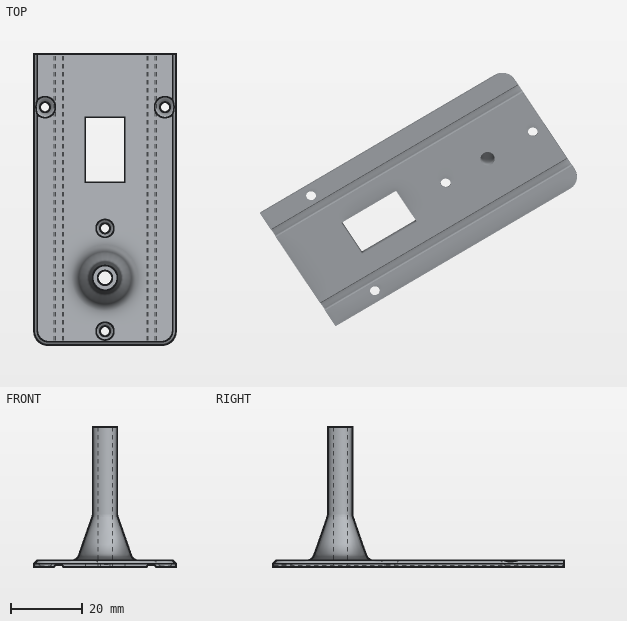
import cadquery as cq

plate_width = 40.0
plate_length = 82.0
plate_thickness = 2.0
corner_radius = 4.0
edge_chamfer = 1.0
front_edge_y = -plate_length / 2
back_edge_y = plate_length / 2

total_height = 39.5
post_y = front_edge_y + 18.95
post_diameter = 7.0
bore_diameter = 4.0
foot_diameter = 15.75
foot_top_z = 14.5
blend_radius = 2.0

screw_diameter = 2.8
center_head_diameter = 5.0
side_head_diameter = 5.9
center_screw_points = [(0, front_edge_y + 3.9), (0, front_edge_y + 32.9)]
side_screw_x = 16.9
side_screw_y = back_edge_y - 15.0
side_screw_points = [(-side_screw_x, side_screw_y), (side_screw_x, side_screw_y)]
countersink_angle = 90

window_width = 11.0
window_length = 18.2
window_y = back_edge_y - 17.9 - window_length / 2

groove_width = 2.7
groove_top_width = 2.05
groove_depth = 0.5
groove_x = 13.0


def make_plate():
    """Plate with rounded front corners, chamfered on top along all but the back edge."""
    plate = cq.Workplane("XY").box(
        plate_width, plate_length, plate_thickness, centered=(True, True, False)
    )
    plate = plate.edges("|Z and <Y").fillet(corner_radius)
    back_edge = cq.selectors.StringSyntaxSelector(">Y")
    top_edges = cq.selectors.SubtractSelector(
        cq.selectors.StringSyntaxSelector("not(|Z)"), back_edge
    )
    return plate.faces(">Z").edges(top_edges).chamfer(edge_chamfer)


def make_post():
    """Solid post and flared foot, revolved about the post axis."""
    profile = (
        cq.Workplane("XZ", origin=(0, post_y, 0))
        .moveTo(0, plate_thickness)
        .lineTo(foot_diameter / 2, plate_thickness)
        .lineTo(post_diameter / 2, foot_top_z)
        .lineTo(post_diameter / 2, total_height)
        .lineTo(0, total_height)
        .close()
    )
    return profile.revolve(360, (0, 0, 0), (0, 1, 0))


def blend_post(body):
    """Round the concave corners at the bottom and the top of the flared foot."""
    for diameter, height in ((foot_diameter, plate_thickness), (post_diameter, foot_top_z)):
        radius = diameter / 2
        ring = cq.selectors.BoxSelector(
            (-radius, post_y - radius, height - 0.1),
            (radius, post_y + radius, height + 0.1),
        )
        body = body.edges("%CIRCLE").edges(ring).fillet(blend_radius)
    return body


def cut_screw_holes(body, points, head_diameter):
    """Drill countersunk holes down from the top face of the plate."""
    return (
        body.copyWorkplane(cq.Workplane("XY", origin=(0, 0, plate_thickness)))
        .pushPoints(points)
        .cskHole(screw_diameter, head_diameter, countersink_angle, plate_thickness)
    )


def make_groove(x):
    """Tapered groove cutter running the full length of the plate."""
    return (
        cq.Workplane("XZ", origin=(x, back_edge_y, 0))
        .moveTo(-groove_width / 2, 0)
        .lineTo(-groove_top_width / 2, groove_depth)
        .lineTo(groove_top_width / 2, groove_depth)
        .lineTo(groove_width / 2, 0)
        .close()
        .extrude(plate_length)
    )


body = blend_post(make_plate().union(make_post()))

bore = cq.Workplane("XY").center(0, post_y).circle(bore_diameter / 2).extrude(total_height)
window = (
    cq.Workplane("XY")
    .center(0, window_y)
    .rect(window_width, window_length)
    .extrude(plate_thickness)
)
body = body.cut(bore).cut(window)

body = cut_screw_holes(body, center_screw_points, center_head_diameter)
body = cut_screw_holes(body, side_screw_points, side_head_diameter)

for side in (-1, 1):
    body = body.cut(make_groove(side * groove_x))

result = body